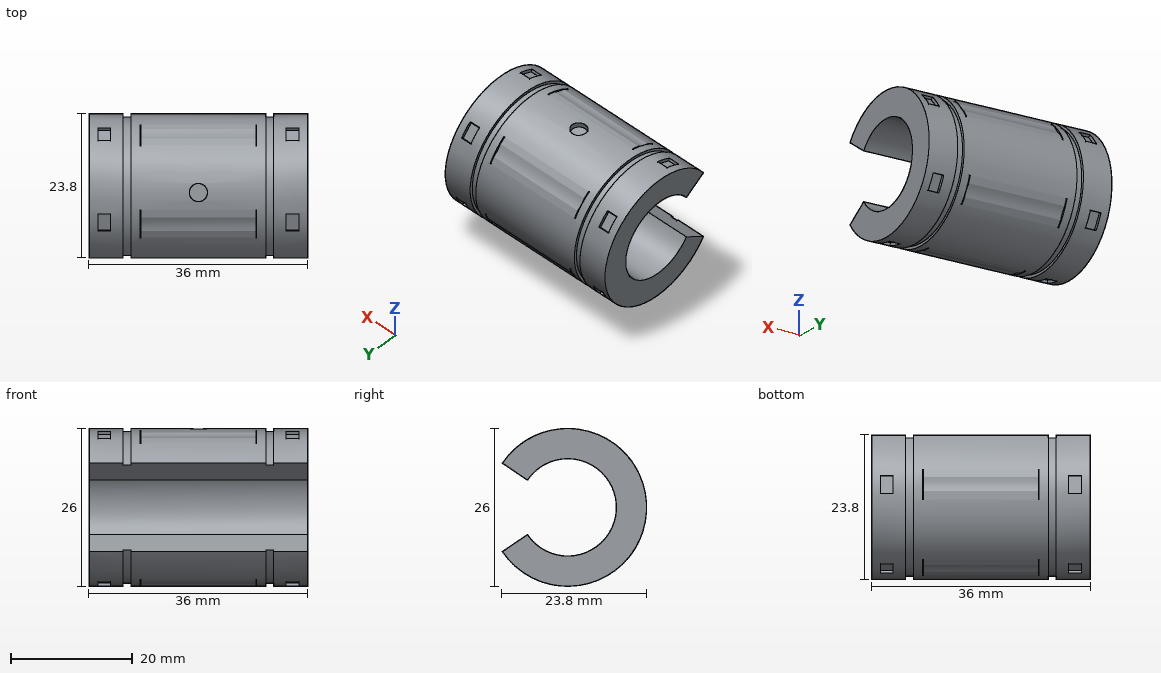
import cadquery as cq
import math

length = 36.0
outer_radius = 13.0
bore_radius = 8.0
opening_half_angle = 34.0

groove_width = 1.25
groove_depth = 0.5
groove_center = 11.75

track_angles = [-24.0 + 72.0 * index for index in range(4)]
track_length = 19.2
track_width = 5.0
end_gap = 0.15
end_gap_depth = 0.5
ball_groove_width = 2.38
ball_groove_radius = 5.7

first_window_shift = 1.4
window_angles = [track_angles[0] + first_window_shift] + track_angles[1:]
window_length = 2.1
window_width = 3.02
window_depth = 0.5
window_center = 15.48

hole_diameter = 3.0
hole_depth = 1.0

clearance = 1.8


def cylinder(radius, width, center_x=0.0):
    return cq.Workplane("YZ", origin=(center_x - width / 2, 0, 0)).circle(radius).extrude(width)


def turn_to_track(shape, angle):
    return shape.rotate((0, 0, 0), (1, 0, 0), -angle)


def radial_pocket(size_x, size_y, depth, half_width, center_x):
    """Box cutter on the +Z side, sunk below the surface height at half_width."""
    edge_height = math.sqrt(outer_radius**2 - half_width**2)
    height = depth + clearance
    return cq.Workplane("XY").box(size_x, size_y, height, centered=(True, True, False)).translate(
        (center_x, 0, edge_height - depth)
    )


def opening_wedge():
    reach = 2 * outer_radius
    rise = reach * math.tan(math.radians(opening_half_angle))
    return (
        cq.Workplane("YZ", origin=(-length / 2, 0, 0))
        .polyline([(0, 0), (-reach, rise), (-reach, -rise)])
        .close()
        .extrude(length)
    )


def ball_groove():
    """Shallow concave trough along the middle of a track plate."""
    half_width = ball_groove_width / 2
    edge_height = math.sqrt(outer_radius**2 - half_width**2)
    axis_height = edge_height + math.sqrt(ball_groove_radius**2 - half_width**2)
    groove_length = track_length - 2 * end_gap
    return cylinder(ball_groove_radius, groove_length).translate((0, 0, axis_height))


def plate_flats():
    """Cutter for the two flat flanks beside the ball groove."""
    inner = ball_groove_width / 2
    outer = track_width / 2
    inner_height = math.sqrt(outer_radius**2 - inner**2)
    outer_height = math.sqrt(outer_radius**2 - outer**2)
    top = outer_radius + clearance
    flank = (
        cq.Workplane("YZ", origin=(-track_length / 2, 0, 0))
        .polyline([(inner, inner_height), (outer, outer_height), (outer, top), (inner, top)])
        .close()
        .extrude(track_length)
    )
    return flank.union(flank.mirror("XZ"))


sleeve = cylinder(outer_radius, length).cut(cylinder(bore_radius, length)).cut(opening_wedge())

for side in (-1, 1):
    ring = cylinder(outer_radius + clearance, groove_width, side * groove_center)
    ring = ring.cut(cylinder(outer_radius - groove_depth, groove_width, side * groove_center))
    sleeve = sleeve.cut(ring)

for angle in track_angles:
    sleeve = sleeve.cut(turn_to_track(ball_groove(), angle))
    sleeve = sleeve.cut(turn_to_track(plate_flats(), angle))
    for side in (-1, 1):
        gap_center = side * (track_length - end_gap) / 2
        gap = radial_pocket(end_gap, track_width, end_gap_depth, track_width / 2, gap_center)
        sleeve = sleeve.cut(turn_to_track(gap, angle))

for angle in window_angles:
    for side in (-1, 1):
        window = radial_pocket(
            window_length, window_width, window_depth, window_width / 2, side * window_center
        )
        sleeve = sleeve.cut(turn_to_track(window, angle))

hole = (
    cq.Workplane("XY", origin=(0, 0, outer_radius - hole_depth))
    .circle(hole_diameter / 2)
    .extrude(hole_depth + clearance)
)
result = sleeve.cut(hole)